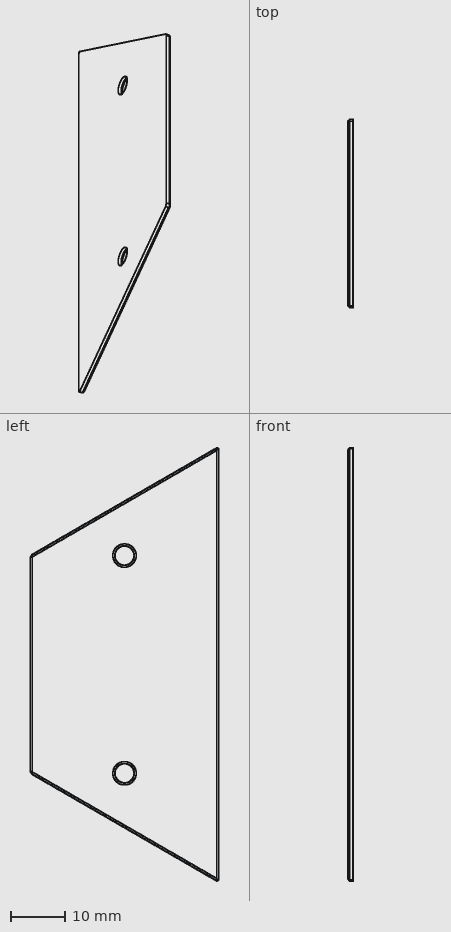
import cadquery as cq
import math

thickness = 1.0
side = 40.0
slant_angle = 60.0
edge_break = 0.4
hole_diameter = 3.5
hole_spacing = side

depth = side * math.sin(math.radians(slant_angle))
long_half = side
short_half = side / 2


def outline_prism():
    """Half-hexagon plate with sharp corners, centred on the origin in Y and Z."""
    outline = [
        (-depth / 2, -long_half),
        (depth / 2, -short_half),
        (depth / 2, short_half),
        (-depth / 2, long_half),
    ]
    return cq.Workplane("YZ").polyline(outline).close().extrude(thickness)


def drill_holes(body):
    """Cut two through holes halfway between the long and short sides."""
    centers = [(0, -hole_spacing / 2), (0, hole_spacing / 2)]
    holes = cq.Workplane("YZ").pushPoints(centers).circle(hole_diameter / 2).extrude(thickness)
    return body.cut(holes)


def break_face_edges(body):
    """Chamfer every edge of the -X face: its outline and both hole rims."""
    return body.faces("<X").edges().chamfer(edge_break)


def break_corners(body):
    """Trim the four corners with a plate whose X-parallel edges are chamfered.

    At the sharp corners the cut is too narrow to carry the face chamfer around it,
    so the corners are trimmed after the face edges.
    """
    return body.intersect(outline_prism().edges("|X").chamfer(edge_break))


plate = drill_holes(outline_prism())
plate = break_face_edges(plate)
result = break_corners(plate)